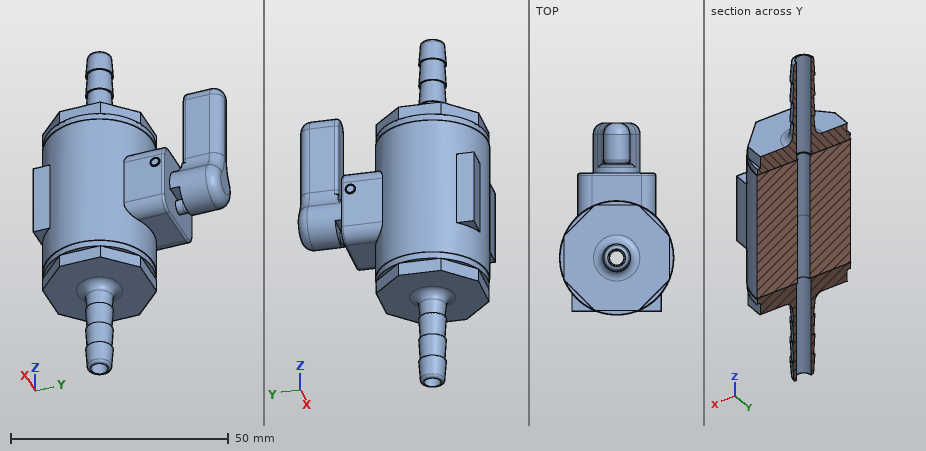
import cadquery as cq
import math


total_length = 88.65
total_depth = 44.2

barrel_diameter = 26.3
barrel_length = 34.6
barrel_bore_diameter = 3.3
pad_face_y = -12.3
pad_width = 20.6
boss_width = 18.0
boss_corner_radius = 3.3
boss_top_y = 19.5
boss_edge_fillet = 0.5
pad_length = boss_width

peg_diameter = 3.5
peg_height = 2.1
peg_fillet = 0.4
peg_top_y = boss_top_y + peg_height

pin_diameter = 2.4
pin_end_chamfer = 0.3
pin_y = 17.3
pin_z = 3.9

flange_diameter = 26.1
flange_thickness = 1.6
octagon_sides = 8
half_side_angle = 180 / octagon_sides
octagon_across_flats = 24.3
octagon_thickness = 3.2
octagon_across_corners = octagon_across_flats / math.cos(math.radians(half_side_angle))
nipple_bore_diameter = 4.0
nipple_root_diameter = 5.7
nipple_barb_diameter = 6.4
nipple_base_fillet = 2.1
nipple_tip_fillet = 0.7
barb_pitch = 5.6
barb_count = 3
tip_land_length = 5.4

hub_diameter = 10.8
hub_radius = hub_diameter / 2
handle_back_y = total_depth - barrel_diameter / 2
lever_front_y = peg_top_y
lever_top_z = 27.2
lever_half_width = 3.0
blend_top_z = 7.45
back_fillet = 2.7
front_fillet = 0.9
peg_z = peg_diameter / 2 - hub_radius
root_front_y = lever_front_y - front_fillet
stop_notch_clearance = 0.2


def cylinder_along_y(diameter, y_start, y_end, z=0):
    """Solid cylinder parallel to Y."""
    plane = cq.Workplane("XZ", origin=(0, y_start, z))
    return plane.circle(diameter / 2).extrude(y_start - y_end)


def pin_cylinder():
    """Cylinder across the whole boss, the shape of the pin hole and of the pin blank."""
    plane = cq.Workplane("YZ", origin=(-boss_width / 2, pin_y, pin_z))
    return plane.circle(pin_diameter / 2).extrude(boss_width)


def make_pin():
    """Cross pin with chamfered ends, flush with both sides of the boss."""
    return pin_cylinder().faces("<X or >X").chamfer(pin_end_chamfer)


def make_housing():
    """Barrel with two front pads, a square boss behind and a stop peg on the boss."""
    barrel = cq.Workplane("XY").circle(barrel_diameter / 2).extrude(barrel_length / 2, both=True)

    pads = cq.Workplane("XY").box(pad_width, -pad_face_y, pad_length).translate((0, pad_face_y / 2, 0))

    boss = cq.Workplane("XZ").rect(boss_width, boss_width).extrude(-boss_top_y)
    boss = boss.edges("|Y").fillet(boss_corner_radius)
    boss = boss.faces(">Y").edges().fillet(boss_edge_fillet)

    peg = cylinder_along_y(peg_diameter, boss_top_y - boss_edge_fillet, peg_top_y, z=peg_z)
    peg = peg.faces(">Y").edges().fillet(peg_fillet)

    bore = cq.Workplane("XY").circle(barrel_bore_diameter / 2).extrude(barrel_length / 2, both=True)
    return barrel.union(pads).union(boss).union(peg).cut(bore).cut(pin_cylinder())


def make_top_cap():
    """Flanged octagon with a barbed hose nipple, pointing along +Z."""
    flange_z = barrel_length / 2
    octagon_z = flange_z + flange_thickness
    nipple_z = octagon_z + octagon_thickness
    tip_z = total_length / 2
    root_radius = nipple_root_diameter / 2
    barb_radius = nipple_barb_diameter / 2

    cap_base = cq.Workplane("XY", origin=(0, 0, flange_z))
    flange = cap_base.circle(flange_diameter / 2).extrude(flange_thickness)
    octagon = cq.Workplane("XY").polygon(octagon_sides, octagon_across_corners).extrude(octagon_thickness)
    octagon = octagon.rotate((0, 0, 0), (0, 0, 1), half_side_angle).translate((0, 0, octagon_z))

    neck_z = nipple_z + nipple_base_fillet
    flare_middle = nipple_base_fillet * (1 - math.sqrt(0.5))
    tip_middle = nipple_tip_fillet * (1 - math.sqrt(0.5))
    tip_radius = root_radius - nipple_tip_fillet
    profile = (
        cq.Workplane("XZ")
        .moveTo(0, octagon_z)
        .lineTo(barb_radius + nipple_base_fillet, octagon_z)
        .lineTo(barb_radius + nipple_base_fillet, nipple_z)
        .threePointArc((barb_radius + flare_middle, nipple_z + flare_middle), (barb_radius, neck_z))
    )
    for barb in range(barb_count):
        barb_z = tip_z - tip_land_length - (barb_count - 1 - barb) * barb_pitch
        profile = profile.lineTo(root_radius, barb_z).lineTo(barb_radius, barb_z)
    profile = (
        profile.lineTo(root_radius, tip_z - nipple_tip_fillet)
        .threePointArc((root_radius - tip_middle, tip_z - tip_middle), (tip_radius, tip_z))
        .lineTo(0, tip_z)
        .close()
    )
    nipple = profile.revolve(360, (0, 0, 0), (0, 1, 0))

    bore = cap_base.circle(nipple_bore_diameter / 2).extrude(tip_z - flange_z)
    return flange.union(octagon).union(nipple).cut(bore)


def make_caps():
    """The same cap at both ends, the lower one given a half turn about Y."""
    caps = []
    for turn in (0, 180):
        caps.append(make_top_cap().rotate((0, 0, 0), (0, 1, 0), turn))
    return caps


def make_lever_relief():
    """Ring about the hub axis that sets the lever front back, with a concave fillet at the hub."""
    middle = front_fillet * math.sqrt(0.5)
    outer_radius = 2 * lever_top_z
    fillet_radius = hub_radius + front_fillet
    return (
        cq.Workplane("XY")
        .moveTo(hub_radius, root_front_y)
        .threePointArc((fillet_radius - middle, root_front_y + middle), (fillet_radius, lever_front_y))
        .lineTo(outer_radius, lever_front_y)
        .lineTo(outer_radius, root_front_y)
        .close()
        .revolve(360, (0, 0, 0), (0, 1, 0))
    )


def block_below(z):
    """Block that covers the whole handle below a height."""
    size = 2 * handle_back_y
    return cq.Workplane("XY", origin=(0, 0, z - size)).box(size, size, size, centered=(True, False, False))


def make_handle():
    """Round hub with a lever that rises from it through two concave blends."""
    blend_reach_squared = lever_half_width**2 + blend_top_z**2 - hub_radius**2
    blend_radius = blend_reach_squared / (2 * (hub_radius - lever_half_width))
    blend_x = lever_half_width + blend_radius
    hub_share = hub_radius / (hub_radius + blend_radius)
    tangent_x = blend_x * hub_share
    tangent_z = blend_top_z * hub_share
    middle_angle = math.pi + math.atan2(blend_top_z, blend_x) / 2
    middle_x = blend_x + blend_radius * math.cos(middle_angle)
    middle_z = blend_top_z + blend_radius * math.sin(middle_angle)
    arch_z = lever_top_z - lever_half_width

    body = (
        cq.Workplane("XZ", origin=(0, root_front_y, 0))
        .moveTo(lever_half_width, blend_top_z)
        .lineTo(lever_half_width, arch_z)
        .threePointArc((0, lever_top_z), (-lever_half_width, arch_z))
        .lineTo(-lever_half_width, blend_top_z)
        .threePointArc((-middle_x, middle_z), (-tangent_x, tangent_z))
        .threePointArc((0, -hub_radius), (tangent_x, tangent_z))
        .threePointArc((middle_x, middle_z), (lever_half_width, blend_top_z))
        .close()
        .extrude(root_front_y - handle_back_y)
    )
    body = body.faces(">Y").edges().fillet(back_fillet)
    body = body.cut(make_lever_relief())

    root_z = hub_radius + front_fillet
    root = body.intersect(block_below(root_z))
    lever = body.cut(block_below(root_z))
    lever = lever.faces("<Y").edges("not(<Z)").fillet(front_fillet)
    handle = root.union(lever).union(cylinder_along_y(hub_diameter, boss_top_y, root_front_y))

    notch_top_z = peg_z + peg_diameter / 2 + stop_notch_clearance
    notch_depth = peg_height + stop_notch_clearance
    notch = block_below(notch_top_z).intersect(
        cylinder_along_y(2 * hub_diameter, boss_top_y, boss_top_y + notch_depth)
    )
    return handle.cut(notch)


housing = make_housing()
caps = make_caps()
handle = make_handle()
pin = make_pin()

result = cq.Compound.makeCompound([housing.val(), *[cap.val() for cap in caps], handle.val(), pin.val()])